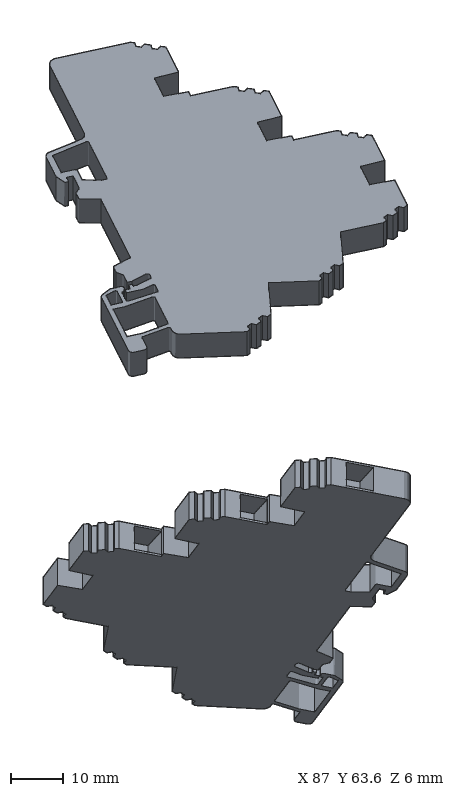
import cadquery as cq
import math

thickness = 6.0
overall_length = 87
top_y = 63.6
tier_count = 3
tier_step_x = 18.35
tier_step_y = 14.5
tier_width = 28.3
slant_count = 2
slant = math.radians(15)
slant_face_length = 9.65
body_bottom_left_y = 11.9
body_bottom_right_y = 9.65

ridge_angle = math.radians(60)
ridge_length = 6.9
groove_pitch = 3.1
groove_count = 2
groove_start = 1.05
groove_mouth = 1.8
groove_floor = 1.05
groove_depth = 1.0

notch_offset = tier_width / 2
notch_mouth = 6.0
notch_floor = 5.6
notch_depth = 5.0

funnel_length = 5.5
funnel_height = 5.1
funnel_narrowing = 2.3
funnel_depth = 4.2
funnel_drop = 11.8

rail_seat_y = 6.0
rail_recess_y = 8.9
rail_lug_y = 5.0
rail_center_x = 50.6
foot_right_x = 85.9
foot_left_x = 67.0
foot_bar_top_y = 3.65
hook_bottom_y = 2.9
ledge_y = 7.3
foot_floor_y = 1.05
shelf_y = 4.2
spring_top_y = 10.8
small_radius = 0.35
tip_radius = 0.5
body_corner_radius = 1.7
foot_end_radius = 0.9
hook_tip_radius = 0.3
hook_heel_radius = 1.3


def rounded_wire(corners):
    """Closed wire through (x, y, radius) corners, each rounded with a tangent arc."""
    spans = []
    count = len(corners)
    for i, (x, y, radius) in enumerate(corners):
        here = cq.Vector(x, y)
        if radius == 0:
            spans.append((here, None, here))
            continue
        back = (cq.Vector(*corners[i - 1][:2]) - here).normalized()
        ahead = (cq.Vector(*corners[(i + 1) % count][:2]) - here).normalized()
        half_angle = back.getAngle(ahead) / 2
        setback = radius / math.tan(half_angle)
        bisector = (back + ahead).normalized()
        middle = here + bisector * (radius / math.sin(half_angle) - radius)
        spans.append((here + back * setback, middle, here + ahead * setback))
    wire = cq.Workplane("XY").moveTo(*spans[0][2].toTuple()[:2])
    for start, middle, end in spans[1:] + spans[:1]:
        wire = wire.lineTo(start.x, start.y)
        if middle is not None:
            wire = wire.threePointArc((middle.x, middle.y), (end.x, end.y))
    return wire.close()


def prism(corners):
    return rounded_wire(corners).extrude(thickness)


def ridge(start_x, start_y, side):
    """Corners of a serrated ridge from its upper end down; side is -1 for left, +1 for right."""
    taper = (groove_mouth - groove_floor) / 2
    profile = [(0, 0)]
    for i in range(groove_count):
        mouth = groove_start + i * groove_pitch
        profile += [
            (mouth, 0),
            (mouth + taper, groove_depth),
            (mouth + groove_mouth - taper, groove_depth),
            (mouth + groove_mouth, 0),
        ]
    profile.append((ridge_length, 0))
    cos_r = math.cos(ridge_angle)
    sin_r = math.sin(ridge_angle)
    return [
        (start_x + side * (along * cos_r - depth * sin_r), start_y - along * sin_r - depth * cos_r, 0)
        for along, depth in profile
    ]


ridge_width = ridge_length * math.cos(ridge_angle)
ridge_height = ridge_length * math.sin(ridge_angle)

top_tier_right_x = (tier_count - 1) * tier_step_x + tier_width
slant_reach = overall_length - top_tier_right_x - slant_count * ridge_width
slant_reach += (slant_count - 1) * slant_face_length * math.sin(slant)
slant_top_length = slant_reach / (slant_count * math.cos(slant))


def left_tier_origin(index):
    """Left face X and top Y of a left tier, counted from the lowest."""
    return index * tier_step_x, top_y - (tier_count - 1 - index) * tier_step_y


def left_tier(index):
    left_x, tier_top = left_tier_origin(index)
    center = left_x + notch_offset
    corners = ridge(left_x + ridge_width, tier_top, -1)[::-1]
    corners += [
        (center - notch_mouth / 2, tier_top, 0),
        (center - notch_floor / 2, tier_top - notch_depth, 0),
        (center + notch_floor / 2, tier_top - notch_depth, 0),
        (center + notch_mouth / 2, tier_top, 0),
    ]
    if index < tier_count - 1:
        corners.append((left_x + tier_step_x, tier_top, 0))
    return corners


def right_tiers():
    """Right side of the highest tier, then the two tilted tiers below it."""
    corners = ridge(top_tier_right_x - ridge_width, top_y, 1)
    x, y = top_tier_right_x, top_y - tier_step_y
    for _ in range(slant_count):
        corners.append((x, y, 0))
        x += slant_top_length * math.cos(slant)
        y -= slant_top_length * math.sin(slant)
        corners += ridge(x, y, 1)
        x += ridge_width - slant_face_length * math.sin(slant)
        y -= ridge_height + slant_face_length * math.cos(slant)
    end_x, end_y, _ = corners[-1]
    corner_x = end_x - (end_y - body_bottom_right_y) * math.tan(slant)
    corners.append((corner_x, body_bottom_right_y, body_corner_radius))
    return corners


def right_foot():
    """Outer edge of the right foot, clockwise from the body to the spring tongue and its slot."""
    return [
        (81.1, body_bottom_right_y, small_radius),
        (82.2, foot_bar_top_y, 0),
        (foot_right_x, foot_bar_top_y, foot_end_radius),
        (foot_right_x, 0, foot_end_radius),
        (68.4, 0, foot_end_radius),
        (foot_left_x, 2.35, foot_end_radius),
        (foot_left_x, rail_lug_y, tip_radius),
        (68.1, rail_lug_y, 0),
        (68.1, rail_seat_y, 0),
        (67.1, rail_seat_y, 0),
        (67.1, 6.8, 0),
        (67.6, 6.8, 0),
        (67.6, 7.5, 0),
        (66.45, spring_top_y, tip_radius),
        (64.8, spring_top_y, tip_radius),
        (66.2, 7.0, 0),
        (66.2, rail_seat_y, 0),
    ]


def rail_lugs():
    """Underside between the feet: a lug on each side of the rail recess."""
    half_profile = [
        (9.0, rail_recess_y, 0),
        (10.35, rail_lug_y, small_radius),
        (12.2, rail_lug_y, 0),
        (13.3, rail_seat_y, small_radius),
    ]
    right = [(rail_center_x + offset, y, radius) for offset, y, radius in half_profile]
    left = [(rail_center_x - offset, y, radius) for offset, y, radius in half_profile]
    return right[::-1] + left


def left_foot():
    """Hook of the left foot and the edge back up to the body."""
    return [
        (33.6, rail_seat_y, 0),
        (33.6, 4.7, 0),
        (34.9, 4.7, hook_tip_radius),
        (34.9, 3.9, hook_tip_radius),
        (32.7, hook_bottom_y, 0),
        (25.8, hook_bottom_y, hook_heel_radius),
        (23.7, body_bottom_left_y, body_corner_radius),
        (0, body_bottom_left_y, body_corner_radius),
    ]


def body():
    outline = []
    for index in range(tier_count):
        outline += left_tier(index)
    outline += right_tiers() + right_foot() + rail_lugs() + left_foot()
    return prism(outline)


def left_foot_window():
    return prism([
        (24.8, body_bottom_left_y, small_radius),
        (36.45, body_bottom_left_y, small_radius),
        (36.45, 10.7, 0),
        (35.1, ledge_y, 0),
        (31.9, ledge_y, small_radius),
        (31.9, shelf_y, 0),
        (26.7, shelf_y, 0),
    ])


def spring_window():
    return prism([
        (68.3, spring_top_y, small_radius),
        (70.6, spring_top_y, small_radius),
        (71.5, shelf_y, small_radius),
        (68.5, shelf_y, 0),
        (68.5, 4.5, 0),
        (69.1, 4.9, 0),
        (69.1, 8.3, 0),
    ])


def spring_gap():
    """Thin gap that frees the lower end of the spring tongue from the foot."""
    return prism([
        (67.8, rail_lug_y, 0),
        (69.1, rail_lug_y, 0),
        (69.1, 4.3, 0),
    ])


def small_foot_window():
    return prism([
        (67.7, 3.4, small_radius),
        (71.5, 3.4, small_radius),
        (71.5, foot_floor_y, 0),
        (68.5, foot_floor_y, 0),
    ])


def large_foot_window():
    return prism([
        (71.7, body_bottom_right_y, small_radius),
        (80.1, body_bottom_right_y, small_radius),
        (81.15, shelf_y, 0),
        (81.15, foot_floor_y, 0),
        (72.8, foot_floor_y, 0),
        (72.8, 3.4, 0),
    ])


def funnel(index):
    """Tapered wire entry in the left face of a tier."""
    left_x, tier_top = left_tier_origin(index)
    mouth = cq.Workplane("YZ", origin=(left_x, tier_top - funnel_drop, thickness / 2))
    return (
        mouth.rect(funnel_length, funnel_height)
        .workplane(offset=funnel_depth)
        .rect(funnel_length - funnel_narrowing, funnel_height - funnel_narrowing)
        .loft(combine=True)
    )


result = body()
for window in (left_foot_window(), spring_window(), spring_gap(), small_foot_window(), large_foot_window()):
    result = result.cut(window)
for tier in range(tier_count):
    result = result.cut(funnel(tier))